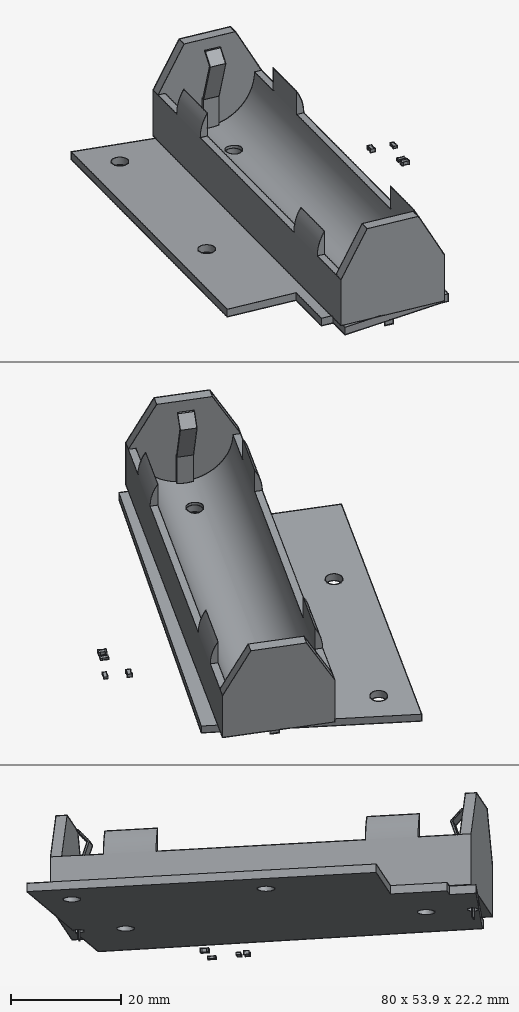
import cadquery as cq
import math


HOLDER_LENGTH = 77.8
HOLDER_WIDTH = 21.0
SIDE_HEIGHT = 9.6
END_HEIGHT = 19.0
END_TOP_WIDTH = 10.4
END_WALL = 2.1
RIM = 1.4
TROUGH_RADIUS = HOLDER_WIDTH / 2 - RIM
INNER_LENGTH = HOLDER_LENGTH - 2 * END_WALL
OVERCUT = 0.8

TAB_LENGTH = 9.8
TAB_HEIGHT = 4.8
TAB_X = 24.2
TAB_RADIUS = (RIM**2 + TAB_HEIGHT**2) / (2 * RIM)

CONTACT_WIDTH = 3.1
CONTACT_THICKNESS = 0.4
LEG_REACH = 0.2
KNEE_HEIGHT = 6.7
BEND_REACH = 3.0
BEND_HEIGHT = 15.0
TIP_REACH = 1.0
TIP_HEIGHT = 17.2

TERMINAL_MIDDLE_X = 0.8
PIN_SPACING = 73.0
PIN_WIDTH = 1.8
PIN_THICKNESS = 0.2
PIN_PROTRUSION = 1.6
PIN_HOLE_DIAMETER = 2.0
SCREW_HOLE_SPACING = 55.6
SCREW_HOLE_DIAMETER = 3.2
PIN_XS = [TERMINAL_MIDDLE_X + side * PIN_SPACING / 2 for side in (-1, 1)]
SCREW_HOLE_XS = [TERMINAL_MIDDLE_X + side * SCREW_HOLE_SPACING / 2 for side in (-1, 1)]

BOARD_THICKNESS = 1.6
BOARD_OUTLINE = [
    (-40.2, -26.4),
    (24.4, -26.4),
    (24.4, -12.5),
    (34.9, -12.5),
    (34.9, -10.1),
    (39.8, -10.1),
    (36.9, 10.7),
    (36.9, 12.2),
    (-34.6, 13.4),
]
OUTER_HOLES = [(-33.1, -20.0), (2.8, -20.0)]

CHIP_LENGTH = 1.5
CAP_LENGTH = 0.3
THIN_CHIP_WIDTH = 0.8
THIN_CHIP_HEIGHT = 0.5
THIN_CAP_STEP = 0.04
THICK_CHIP_WIDTH = 1.0
THICK_CHIP_HEIGHT = 0.7
THICK_CAP_STEP = 0.12
THIN_CHIPS = [(-16.2, 27.1, 0), (-11.0, 26.1, 90)]
THICK_CHIPS = [(-16.7, 22.8, 0), (-9.5, 26.1, 90)]


def end_wall(start_x):
    """Wall with sloping shoulders that closes one end of the trough."""
    half = HOLDER_WIDTH / 2
    half_top = END_TOP_WIDTH / 2
    outline = [
        (-half, 0),
        (half, 0),
        (half, SIDE_HEIGHT),
        (half_top, END_HEIGHT),
        (-half_top, END_HEIGHT),
        (-half, SIDE_HEIGHT),
    ]
    return cq.Workplane("YZ", origin=(start_x, 0, 0)).polyline(outline).close().extrude(END_WALL)


def trough_block():
    """Block between the end walls with a half-round trough along its top."""
    block = cq.Workplane("XY").box(
        INNER_LENGTH, HOLDER_WIDTH, SIDE_HEIGHT, centered=(True, True, False)
    )
    trough = (
        cq.Workplane("YZ", origin=(-INNER_LENGTH / 2, 0, SIDE_HEIGHT))
        .circle(TROUGH_RADIUS)
        .extrude(INNER_LENGTH)
    )
    return block.cut(trough)


def tab(x, side):
    """Tab on one rim: flat inside, curved outside, sharp on top."""
    outer_y = HOLDER_WIDTH / 2
    inner_y = outer_y - RIM
    half_angle = math.asin(TAB_HEIGHT / TAB_RADIUS) / 2
    arc_y = outer_y - TAB_RADIUS * (1 - math.cos(half_angle))
    arc_z = TAB_RADIUS * math.sin(half_angle)
    return (
        cq.Workplane("YZ", origin=(x - TAB_LENGTH / 2, 0, SIDE_HEIGHT))
        .moveTo(side * inner_y, 0)
        .lineTo(side * outer_y, 0)
        .threePointArc((side * arc_y, arc_z), (side * inner_y, TAB_HEIGHT))
        .close()
        .extrude(TAB_LENGTH)
    )


def contact(face_x, inward):
    """Bent sheet spring: a leg on the end wall, a slope to the bend, and a tip leaning back."""
    foot_z = (SIDE_HEIGHT - TROUGH_RADIUS) / 2
    slope = [
        (LEG_REACH, KNEE_HEIGHT),
        (BEND_REACH, BEND_HEIGHT),
        (TIP_REACH, TIP_HEIGHT),
    ]
    front = [(reach + CONTACT_THICKNESS, z) for reach, z in reversed(slope)]
    leg_reach = LEG_REACH + CONTACT_THICKNESS
    outline = [(0, foot_z), (0, KNEE_HEIGHT), *slope, *front, (leg_reach, foot_z)]
    points = [(face_x + inward * reach, z) for reach, z in outline]
    return cq.Workplane("XZ").polyline(points).close().extrude(CONTACT_WIDTH / 2, both=True)


def pin(x):
    """Flat pin from the holder floor down through the board."""
    length = BOARD_THICKNESS + PIN_PROTRUSION
    return (
        cq.Workplane("XY")
        .box(PIN_THICKNESS, PIN_WIDTH, length, centered=(True, True, False))
        .translate((x, 0, -length))
    )


def vertical_holes(centres, diameter):
    """Cutters that pass through the board and the holder floor."""
    return (
        cq.Workplane("XY", origin=(0, 0, -BOARD_THICKNESS - OVERCUT))
        .pushPoints(centres)
        .circle(diameter / 2)
        .extrude(BOARD_THICKNESS + SIDE_HEIGHT + OVERCUT)
    )


def make_holder():
    """Trough, end walls, tabs, contacts and pins as one body."""
    holder = trough_block()
    holder = holder.union(end_wall(-HOLDER_LENGTH / 2))
    holder = holder.union(end_wall(INNER_LENGTH / 2))
    for x in (-TAB_X, TAB_X):
        for side in (-1, 1):
            holder = holder.union(tab(x, side))
    holder = holder.union(contact(-INNER_LENGTH / 2, 1))
    holder = holder.union(contact(INNER_LENGTH / 2, -1))
    holder = holder.cut(vertical_holes([(x, 0) for x in SCREW_HOLE_XS], SCREW_HOLE_DIAMETER))
    for x in PIN_XS:
        holder = holder.union(pin(x))
    return holder


def make_board():
    """Flat board with screw holes, and pin holes of which the left one breaks out at the edge."""
    board = (
        cq.Workplane("XY", origin=(0, 0, -BOARD_THICKNESS))
        .polyline(BOARD_OUTLINE)
        .close()
        .extrude(BOARD_THICKNESS)
    )
    screw_holes = OUTER_HOLES + [(x, 0) for x in SCREW_HOLE_XS]
    board = board.cut(vertical_holes(screw_holes, SCREW_HOLE_DIAMETER))
    return board.cut(vertical_holes([(x, 0) for x in PIN_XS], PIN_HOLE_DIAMETER))


def make_chip(width, height, cap_step, x, y, turn):
    """Chip at board-top level: a narrow middle between two end caps, turned about Z."""
    upright = (True, True, False)
    chip = cq.Workplane("XY").box(CHIP_LENGTH, width - 2 * cap_step, height, centered=upright)
    for side in (-1, 1):
        cap = cq.Workplane("XY").box(CAP_LENGTH, width, height, centered=upright)
        chip = chip.union(cap.translate((side * (CHIP_LENGTH - CAP_LENGTH) / 2, 0, 0)))
    return chip.rotate((0, 0, 0), (0, 0, 1), turn).translate((x, y, 0))


holder = make_holder()
board = make_board()
chips = []
for x, y, turn in THIN_CHIPS:
    chips.append(make_chip(THIN_CHIP_WIDTH, THIN_CHIP_HEIGHT, THIN_CAP_STEP, x, y, turn))
for x, y, turn in THICK_CHIPS:
    chips.append(make_chip(THICK_CHIP_WIDTH, THICK_CHIP_HEIGHT, THICK_CAP_STEP, x, y, turn))

result = cq.Compound.makeCompound([holder.val(), board.val(), *[chip.val() for chip in chips]])